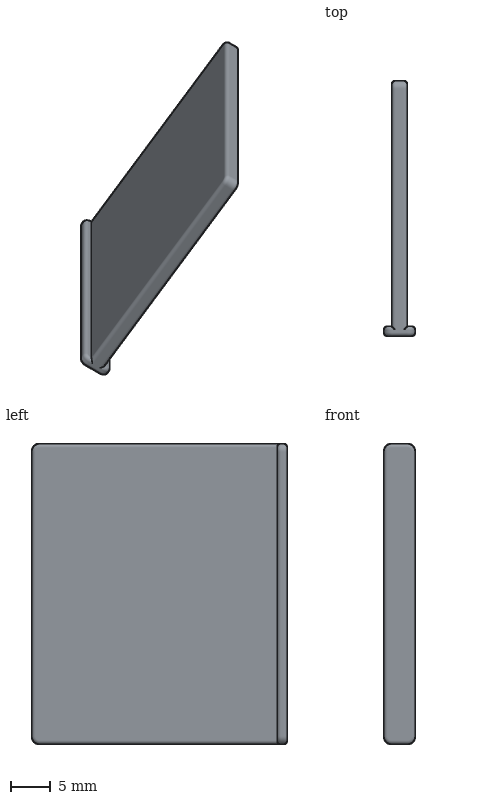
import cadquery as cq

height = 38.0
total_depth = 32.3
head_width = 4.0

head_depth = 1.3
plate_thickness = 2.0
corner_radius = 1.0
edge_radius = 0.5

plate_root = head_depth / 2
plate_depth = total_depth - plate_root


def make_head():
    """Upright bar with rounded corners and rounded front and back rims."""
    bar = cq.Workplane("XY").box(head_width, head_depth, height, centered=(True, False, True))
    bar = bar.edges("|Y").fillet(corner_radius)
    return bar.faces("<Y or >Y").edges().fillet(edge_radius)


def make_plate():
    """Thin plate with rounded far corners and rounded rims on both broad faces."""
    slab = cq.Workplane("XY").box(plate_thickness, plate_depth, height, centered=(True, False, True))
    slab = slab.translate((0, plate_root, 0))
    slab = slab.faces(">Y").edges("|X").fillet(corner_radius)
    outer_rims = slab.faces("<X or >X").edges("not(<Y)")
    return outer_rims.fillet(edge_radius)


result = make_head().union(make_plate())
result = result.translate((0, -total_depth / 2, 0))